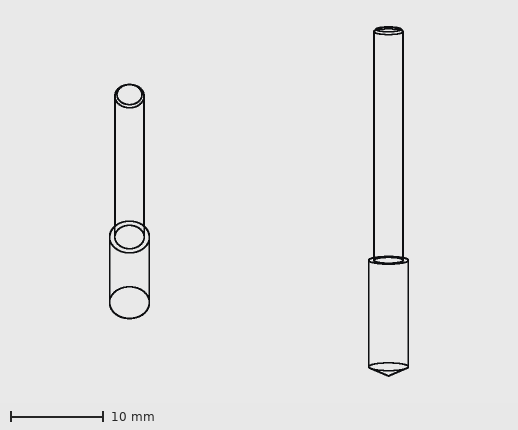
import cadquery as cq

total_length = 38.1
cutter_diameter = 4.3
shank_diameter = 3.15
cutter_length = 12.73
point_height = 1.03
chamfer_height = 0.25
chamfer_width = 0.23

shank_length = total_length - cutter_length
cutter_radius = cutter_diameter / 2
shank_radius = shank_diameter / 2


def make_cutter():
    """Cylindrical cutter with a conical point, the tip at the origin."""
    return (
        cq.Workplane("XZ")
        .lineTo(cutter_radius, point_height)
        .lineTo(cutter_radius, cutter_length)
        .lineTo(0, cutter_length)
        .close()
        .revolve(360, (0, 0, 0), (0, 1, 0))
    )


def make_shank():
    """Round shank standing on the cutter, chamfered at its free end."""
    return (
        cq.Workplane("XY")
        .workplane(offset=cutter_length)
        .circle(shank_radius)
        .extrude(shank_length)
        .faces(">Z")
        .chamfer(chamfer_height, chamfer_width)
    )


cutter = make_cutter()
shank = make_shank()

result = cq.Compound.makeCompound([cutter.val(), shank.val()])